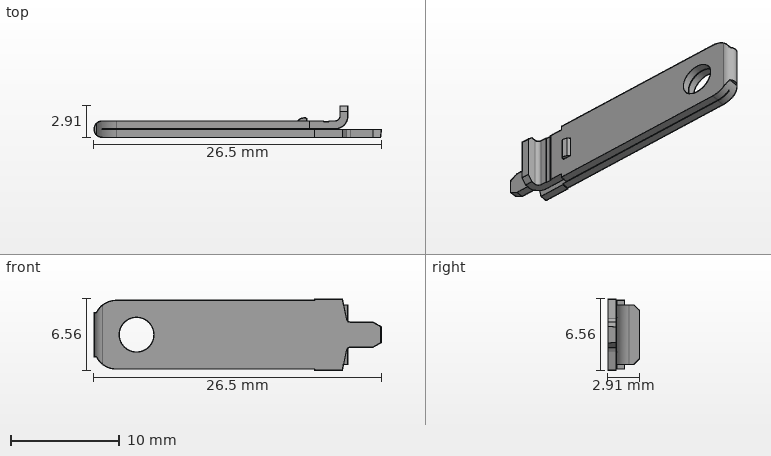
import cadquery as cq
import math

length = 26.5
sheet = 0.75
gap = 0.05
stack = 2 * sheet + gap
fold_radius = stack / 2

half_width = 3.18
corner_radius = 2.07
nose_half_width = 2.05
nose_length = 0.53
hole_x = 3.92
hole_radius = 1.6

shoulder_x = 20.32
shoulder_end_x = 22.9
shoulder_half_width = 3.28
tongue_root_x = 23.3
tongue_half_width = 1.17
tongue_root_fillet = 0.4
tongue_taper_x = 25.7
tip_half_width = 0.72
tip_undercut = 0.08

narrow_x = 19.87
narrow_half_width = 2.75
tab_x = 23.4
tab_height = 2.91
bend_inner_radius = 0.42
bend_outer_radius = bend_inner_radius + sheet
tab_chamfer = 0.53
groove_start_x = 21.17
groove_width = 0.48
groove_depth = 0.08

catch_start_x = 18.75
catch_end_x = 19.6
catch_ramp = 0.26
catch_shoulder = 0.2
catch_height = 0.32
catch_half_width = 1.09


def extrude_across(profile, half_span):
    """Extrude an XY profile symmetrically along Z."""
    return profile.extrude(half_span, both=True)


def make_front_leaf():
    upper_points = [
        (fold_radius, half_width),
        (shoulder_x, half_width),
        (shoulder_x, shoulder_half_width),
        (shoulder_end_x, shoulder_half_width),
        (tongue_root_x, tongue_half_width),
        (tongue_taper_x, tongue_half_width),
        (length, tip_half_width),
    ]
    lower_points = [(x, -z) for x, z in reversed(upper_points)]
    leaf = cq.Workplane("XZ").polyline(upper_points + lower_points).close().extrude(-sheet)
    for side in (-1, 1):
        root = cq.selectors.NearestToPointSelector((tongue_root_x, sheet / 2, side * tongue_half_width))
        leaf = leaf.edges("|Y").edges(root).fillet(tongue_root_fillet)
    undercut = cq.Workplane("XY").polyline(
        [(length - tip_undercut, 0), (length, 0), (length, sheet)]
    ).close()
    return leaf.cut(extrude_across(undercut, half_width))


def make_back_leaf():
    base_y = sheet + gap
    diagonal = math.sqrt(0.5)
    bend_x = tab_x - bend_outer_radius
    bend_y = base_y + bend_outer_radius
    inner_x = tab_x - sheet

    def bend_midpoint(radius):
        return (bend_x + radius * diagonal, bend_y - radius * diagonal)

    profile = (
        cq.Workplane("XY")
        .moveTo(narrow_x, base_y)
        .lineTo(bend_x, base_y)
        .threePointArc(bend_midpoint(bend_outer_radius), (tab_x, bend_y))
        .lineTo(tab_x, tab_height)
        .lineTo(inner_x, tab_height)
        .lineTo(inner_x, bend_y)
        .threePointArc(bend_midpoint(bend_inner_radius), (bend_x, stack))
        .lineTo(narrow_x, stack)
        .close()
    )
    narrow_end = extrude_across(profile, narrow_half_width)
    narrow_end = narrow_end.faces(">Y").edges("|X").chamfer(tab_chamfer)
    groove = cq.Workplane("XY").box(
        groove_width, groove_depth, 2 * narrow_half_width, centered=(False, False, True)
    ).translate((groove_start_x, stack - groove_depth, 0))
    strip = cq.Workplane("XY").box(
        narrow_x - fold_radius, sheet, 2 * half_width, centered=(False, False, True)
    ).translate((fold_radius, base_y, 0))
    return strip.union(narrow_end.cut(groove))


def make_fold():
    middle = fold_radius
    inner_radius = gap / 2
    profile = (
        cq.Workplane("XY")
        .moveTo(fold_radius, 0)
        .threePointArc((0, middle), (fold_radius, stack))
        .lineTo(fold_radius, sheet + gap)
        .threePointArc((fold_radius - inner_radius, middle), (fold_radius, sheet))
        .close()
    )
    return extrude_across(profile, half_width)


def make_end_outline():
    """Rounded strip outline with a square nose, used to trim the folded end."""
    end = cq.Workplane("XY").box(
        shoulder_x, tab_height, 2 * half_width, centered=(False, False, True)
    ).edges("|Y and <X").fillet(corner_radius)
    nose = cq.Workplane("XY").box(
        nose_length, tab_height, 2 * nose_half_width, centered=(False, False, True)
    )
    beyond_end = cq.Workplane("XY").box(
        length - shoulder_x, tab_height, 2 * shoulder_half_width, centered=(False, False, True)
    ).translate((shoulder_x, 0, 0))
    return end.union(nose).union(beyond_end)


def make_catch():
    profile = (
        cq.Workplane("XY")
        .moveTo(catch_start_x, stack)
        .lineTo(catch_start_x + catch_ramp, stack + catch_shoulder)
        .lineTo(catch_end_x - catch_height / 2, stack + catch_height)
        .lineTo(catch_end_x, stack + catch_shoulder)
        .lineTo(catch_end_x, stack)
        .close()
    )
    return extrude_across(profile, catch_half_width)


body = make_front_leaf().union(make_back_leaf()).union(make_fold())
body = body.intersect(make_end_outline())
hole = cq.Workplane("XZ").center(hole_x, 0).circle(hole_radius).extrude(-stack)
result = body.cut(hole).union(make_catch())